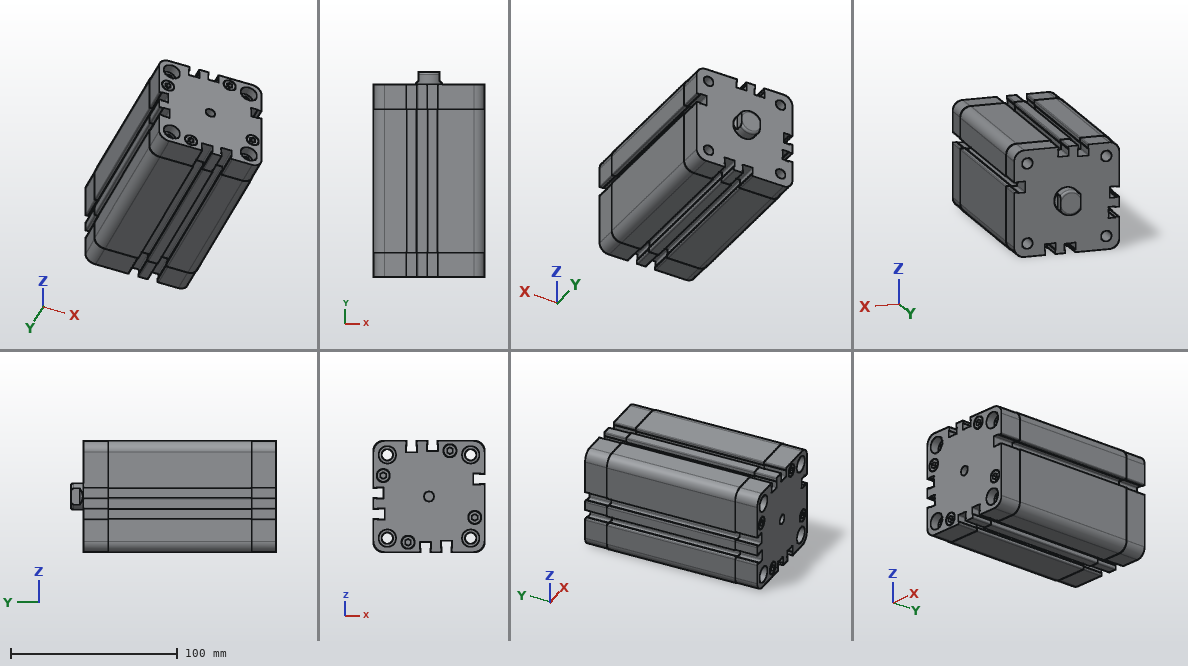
import cadquery as cq

total_length = 123.0
rod_stickout = 7.5
cap_length = 14.8
rear_face = -total_length / 2
rod_tip = total_length / 2
rod_side_face = rod_tip - rod_stickout
barrel_start = rear_face + cap_length
barrel_end = rod_side_face - cap_length

barrel_width = 67.0
cap_inset = 0.2
barrel_corner_radius = 6.6

slot_pitch = 12.5
deep_slot_offset = -10.5
shallow_slot_offset = deep_slot_offset + slot_pitch
slot_mouth_width = 5.7
slot_inner_width = 6.4
slot_inner_height = 3.7
deep_slot_depth = 6.9
shallow_slot_depth = 6.0
slot_lip_radius = 0.5
slot_floor_radius = 0.2

mount_hole_offset = 25.0
mount_hole_diameter = 6.6
counterbore_diameter = 10.5
counterbore_depth = 6.2
center_hole_diameter = 6.0
center_hole_depth = 6.2

screw_x = 12.5
screw_z = 27.4
screw_pocket_diameter = 8.0
screw_head_diameter = 7.5
screw_gap_depth = 1.2
hex_across_corners = 4.0
hex_depth = 3.0

rod_diameter = 16.0
rod_tip_radius = 1.5
rod_across_flats = 12.8
flat_length = 5.4


def plane_at(y):
    """XZ plane at the given Y whose local axes are +X and +Z; extrusions by -d go toward +Y."""
    return cq.Workplane("XZ", origin=(0, y, 0))


def slot_cutter(offset, depth, inset, y_start, y_end):
    """T-slot open to the +Z side; every wall moves into the material by the inset."""
    surface = barrel_width / 2 - inset
    floor = barrel_width / 2 - depth - inset
    step = barrel_width / 2 - depth + slot_inner_height + inset
    mouth_half = slot_mouth_width / 2 + inset
    inner_half = slot_inner_width / 2 + inset
    lip_half = mouth_half + slot_lip_radius
    length = y_end - y_start

    inner = (
        plane_at(y_start)
        .center(offset, (floor + step) / 2)
        .rect(2 * inner_half, step - floor)
        .extrude(-length)
        .edges("|Y and <Z")
        .fillet(slot_floor_radius)
    )
    mouth = (
        plane_at(y_start)
        .center(offset, 0)
        .moveTo(-mouth_half, step)
        .lineTo(-mouth_half, surface - slot_lip_radius)
        .radiusArc((-lip_half, surface), -slot_lip_radius)
        .lineTo(lip_half, surface)
        .radiusArc((mouth_half, surface - slot_lip_radius), -slot_lip_radius)
        .lineTo(mouth_half, step)
        .close()
        .extrude(-length)
    )
    return inner.union(mouth)


def cut_slots(block, inset, y_start, y_end):
    deep = slot_cutter(deep_slot_offset, deep_slot_depth, inset, y_start, y_end)
    shallow = slot_cutter(shallow_slot_offset, shallow_slot_depth, inset, y_start, y_end)
    for side in range(4):
        angle = 90 * side
        block = block.cut(deep.rotate((0, 0, 0), (0, 1, 0), angle))
        if side != 1:
            block = block.cut(shallow.rotate((0, 0, 0), (0, 1, 0), angle))
    return block


def section(inset, y_start, y_end):
    """Slotted square section, set in from the barrel outline by the inset."""
    width = barrel_width - 2 * inset
    block = plane_at(y_start).rect(width, width).extrude(y_start - y_end)
    block = block.edges("|Y").fillet(barrel_corner_radius - inset)
    return cut_slots(block, inset, y_start, y_end)


def make_rod():
    """Rod end with a rounded tip and flats on the -X and +X sides that run out at 45 degrees."""
    rod = plane_at(rod_side_face).circle(rod_diameter / 2).extrude(-rod_stickout)
    rod = rod.faces(">Y").edges().fillet(rod_tip_radius)
    flat_x = rod_across_flats / 2
    flat_end = rod_tip - flat_length
    runout = rod_diameter / 2 - flat_x
    flat = (
        cq.Workplane("XY")
        .moveTo(flat_x, rod_tip)
        .lineTo(flat_x, flat_end)
        .lineTo(flat_x + runout, flat_end - runout)
        .lineTo(flat_x + runout, rod_tip)
        .close()
        .extrude(rod_diameter / 2, both=True)
    )
    return rod.cut(flat).cut(flat.mirror("YZ"))


body = section(0, barrel_start, barrel_end)
body = body.union(section(cap_inset, rear_face, barrel_start))
body = body.union(section(cap_inset, barrel_end, rod_side_face))
body = body.union(make_rod())

mount_points = [
    (x, z)
    for x in (-mount_hole_offset, mount_hole_offset)
    for z in (-mount_hole_offset, mount_hole_offset)
]
rear = plane_at(rear_face)
body = body.cut(rear.pushPoints(mount_points).circle(mount_hole_diameter / 2).extrude(-total_length))
body = body.cut(rear.pushPoints(mount_points).circle(counterbore_diameter / 2).extrude(-counterbore_depth))
body = body.cut(rear.circle(center_hole_diameter / 2).extrude(-center_hole_depth))

screw_points = [
    (screw_x, screw_z),
    (screw_z, -screw_x),
    (-screw_x, -screw_z),
    (-screw_z, screw_x),
]
for x, z in screw_points:
    center = rear.center(x, z)
    gap = center.circle(screw_pocket_diameter / 2).circle(screw_head_diameter / 2).extrude(-screw_gap_depth)
    socket = center.polygon(6, hex_across_corners).extrude(-hex_depth)
    body = body.cut(gap).cut(socket.rotate((x, 0, z), (x, 1, z), 90))

result = body